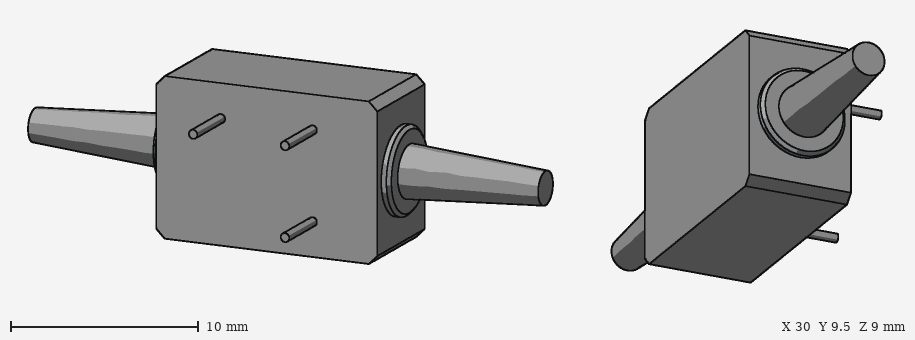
import cadquery as cq

body_length = 13.0
body_depth = 6.0
body_height = 9.0
corner_chamfer = 0.5

overall_length = 30.0
flange_diameter = 5.0
flange_thickness = 0.5
flange_edge_chamfer = 0.2
boot_root_diameter = 3.0
boot_tip_diameter = 1.9

pin_diameter = 0.5
pin_length = 3.5
pin_x = 2.7
pin_z = 2.54
pin_positions = [(-pin_x, pin_z), (pin_x, pin_z), (pin_x, -pin_z)]


def make_body():
    """Rectangular housing with its four long Y edges chamfered."""
    return cq.Workplane("XY").box(body_length, body_depth, body_height).edges("|Y").chamfer(corner_chamfer)


def make_boot():
    """Flange and tapered boot on the +X end, revolved about the X axis."""
    body_end = body_length / 2
    flange_end = body_end + flange_thickness
    flange_radius = flange_diameter / 2
    return (
        cq.Workplane("XY")
        .moveTo(body_end, 0)
        .lineTo(body_end, flange_radius)
        .lineTo(flange_end - flange_edge_chamfer, flange_radius)
        .lineTo(flange_end, flange_radius - flange_edge_chamfer)
        .lineTo(flange_end, boot_root_diameter / 2)
        .lineTo(overall_length / 2, boot_tip_diameter / 2)
        .lineTo(overall_length / 2, 0)
        .close()
        .revolve(360, (0, 0, 0), (1, 0, 0))
    )


def make_pins():
    """Three round pins standing out of the -Y face."""
    return (
        cq.Workplane("XZ", origin=(0, -body_depth / 2, 0))
        .pushPoints(pin_positions)
        .circle(pin_diameter / 2)
        .extrude(pin_length)
    )


boot = make_boot()
result = make_body().union(boot).union(boot.mirror("YZ")).union(make_pins())